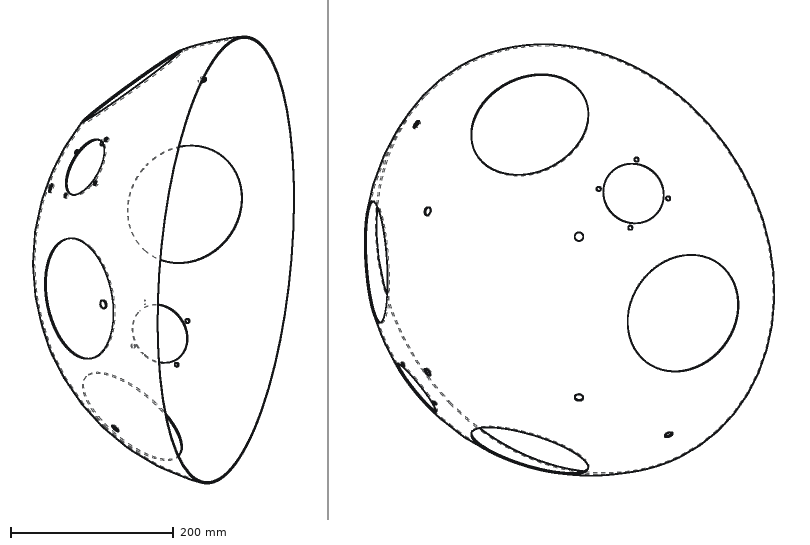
import cadquery as cq
import math

rim_radius = 276.5
cap_depth = 235.5
wall = 2.0

sphere_radius = (rim_radius**2 + cap_depth**2) / (2 * cap_depth)
sphere_center_x = sphere_radius - cap_depth

drill_length = 1.2 * sphere_radius

window_diameter = 150.5
window_tilt = 52.0
port_diameter = 76.0
port_tilt = 50.0
screw_diameter = 5.3
screw_circle_radius = 43.5
pin_diameter = 10.5
inner_pin_tilt = 32.0
outer_pin_tilt = 62.0


def radial_plane(tilt, azimuth):
    """Plane at the sphere center whose normal leaves through the shell.

    Tilt is measured from -X; azimuth is measured from +Y toward +Z.
    """
    t = math.radians(tilt)
    a = math.radians(azimuth)
    normal = (-math.cos(t), math.sin(t) * math.cos(a), math.sin(t) * math.sin(a))
    tangent = (0, -math.sin(a), math.cos(a))
    return cq.Plane(origin=(sphere_center_x, 0, 0), xDir=tangent, normal=normal)


def radial_drill(diameter, tilt, azimuth):
    return cq.Workplane(radial_plane(tilt, azimuth)).circle(diameter / 2).extrude(drill_length)


def screw_drills(tilt, azimuth):
    """Four parallel drills, set diagonally around a port."""
    square_side = screw_circle_radius * math.sqrt(2)
    return (
        cq.Workplane(radial_plane(tilt, azimuth))
        .rect(square_side, square_side, forConstruction=True)
        .vertices()
        .circle(screw_diameter / 2)
        .extrude(drill_length)
    )


def cap_shell():
    center = (sphere_center_x, 0, 0)
    outer = cq.Workplane("XY").sphere(sphere_radius).translate(center)
    inner = cq.Workplane("XY").sphere(sphere_radius - wall).translate(center)
    box_side = 3 * sphere_radius
    keep_side = cq.Workplane("XY").box(box_side, box_side, box_side).translate((-box_side / 2, 0, 0))
    return outer.cut(inner).intersect(keep_side)


result = cap_shell()

for azimuth in (0, 90, 180, 270):
    result = result.cut(radial_drill(window_diameter, window_tilt, azimuth))

for azimuth in (135, 315):
    result = result.cut(radial_drill(port_diameter, port_tilt, azimuth))
    result = result.cut(screw_drills(port_tilt, azimuth))

for azimuth in (45, 135, 225, 315):
    result = result.cut(radial_drill(pin_diameter, inner_pin_tilt, azimuth))
for azimuth in (45, 225):
    result = result.cut(radial_drill(pin_diameter, outer_pin_tilt, azimuth))